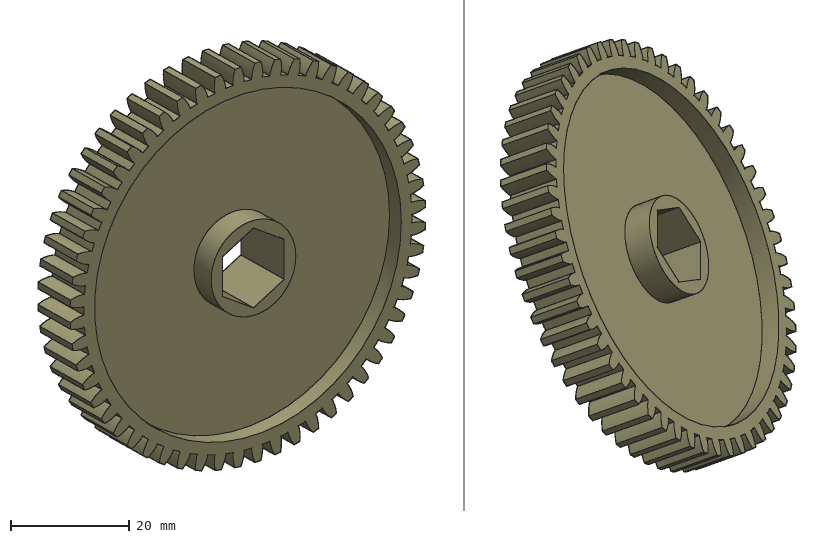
import cadquery as cq
import math


gear_height = 73.6
tooth_count = 56
pressure_angle = math.radians(14.5)
dedendum_factor = 1.25
face_width = 9.5
hub_length = 12.7
hub_diameter = 17.5
hex_across_flats = 12.7
web_recess_diameter = 63.5
web_thickness = 2.6


def involute_angle(pressure):
    """Involute function: polar angle swept at the given local pressure angle."""
    return math.tan(pressure) - pressure


pitch_angle = 2 * math.pi / tooth_count
tip_pressure = math.acos(math.cos(pressure_angle) * tooth_count / (tooth_count + 2))
base_half_angle = pitch_angle / 4 + involute_angle(pressure_angle)
tip_half_angle = base_half_angle - involute_angle(tip_pressure)

tip_corner_angle = pitch_angle / 2 - tip_half_angle
tip_radius = gear_height / 2 / math.cos(tip_corner_angle)
module = 2 * tip_radius / (tooth_count + 2)
pitch_radius = module * tooth_count / 2
base_radius = pitch_radius * math.cos(pressure_angle)
root_radius = pitch_radius - dedendum_factor * module


def polar(radius, angle):
    return (radius * math.cos(angle), radius * math.sin(angle))


def flank_point(pressure, centre_angle, side):
    """Point on an involute flank; side is -1 before the tooth centre and +1 after it."""
    radius = base_radius / math.cos(pressure)
    half_angle = base_half_angle - involute_angle(pressure)
    return polar(radius, centre_angle + side * half_angle)


def toothed_disc():
    """Solid disc with involute teeth and radial flanks below the base circle."""
    mid_pressure = tip_pressure / 2
    first_centre = pitch_angle / 2
    outline = cq.Workplane("YZ").workplane(offset=-face_width / 2)
    outline = outline.moveTo(*polar(root_radius, first_centre - base_half_angle))
    for index in range(tooth_count):
        centre = first_centre + index * pitch_angle
        next_root_start = centre + pitch_angle - base_half_angle
        outline = (
            outline
            .lineTo(*flank_point(0, centre, -1))
            .threePointArc(flank_point(mid_pressure, centre, -1), flank_point(tip_pressure, centre, -1))
            .threePointArc(polar(tip_radius, centre), flank_point(tip_pressure, centre, 1))
            .threePointArc(flank_point(mid_pressure, centre, 1), flank_point(0, centre, 1))
            .lineTo(*polar(root_radius, centre + base_half_angle))
            .threePointArc(polar(root_radius, centre + pitch_angle / 2), polar(root_radius, next_root_start))
        )
    return outline.close().extrude(face_width)


def centred_cylinder(diameter, length):
    return cq.Workplane("YZ").circle(diameter / 2).extrude(length / 2, both=True)


def web_recesses():
    """Material removed from both faces between the rim and the web."""
    return centred_cylinder(web_recess_diameter, face_width).cut(
        centred_cylinder(web_recess_diameter, web_thickness)
    )


def hex_bore():
    """Hexagonal through bore with corners pointing up and down."""
    across_corners = hex_across_flats / math.cos(math.pi / 6)
    return (
        cq.Workplane("YZ")
        .transformed(rotate=(0, 0, 90))
        .polygon(6, across_corners)
        .extrude(hub_length / 2, both=True)
    )


result = (
    toothed_disc()
    .cut(web_recesses())
    .union(centred_cylinder(hub_diameter, hub_length))
    .cut(hex_bore())
)